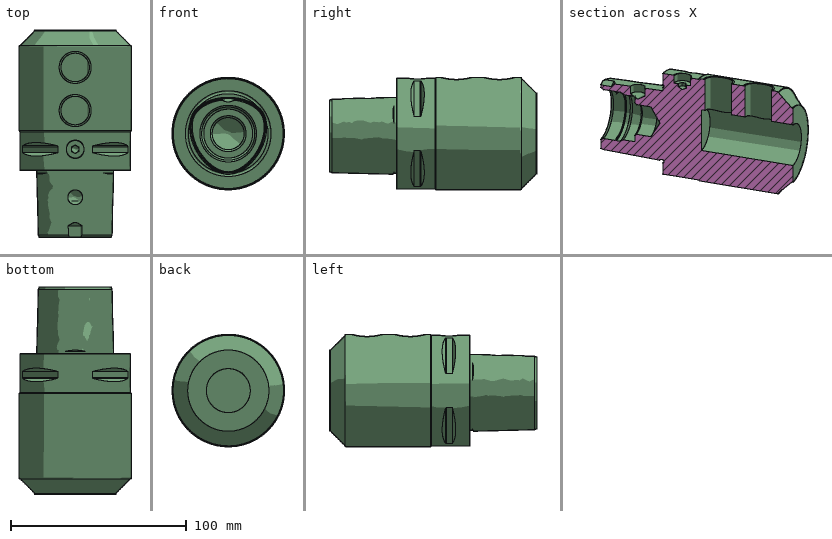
import cadquery as cq
import math


BODY_RADIUS = 32.0
BODY_END = 80.0
NOSE_RADIUS = 23.1
NOSE_LAND = 0.6
CONE_START = 71.1
RIM_LENGTH = 0.7
RIM_DROP = 0.2
FLANGE_RADIUS = 31.5
FLANGE_LENGTH = 22.0
FLANGE_STEP = 0.7
FLANGE_EDGE = 0.3
FACE_GROOVE_RADIUS = 23.5
FACE_GROOVE_SECTION = 0.85

TOOL_BORE_RADIUS = 12.5
TOOL_BORE_DEPTH = 56.0
SCREW_HOLE_STATIONS = (34.1, 58.6)
SCREW_HOLE_RADIUS = 8.1
SCREW_RELIEF_RADIUS = 9.1
SCREW_RELIEF_DEPTH = 0.1

GRIP_FLOOR_DISTANCE = 28.05
GRIP_FLOOR_START = 10.2
GRIP_FLOOR_WIDTH = 3.3
GRIP_BEVEL_WIDTH = 0.6
GRIP_BEVEL_RISE = 0.25
GRIP_FLANK_ANGLE = 30.0
GRIP_COUNT = 4

PLUG_STATION = 12.1
PLUG_RADIUS = 5.2
PLUG_DEPTH = 4.9
PLUG_EDGE = 0.2
SOCKET_FLATS = 4.2
SOCKET_DEPTH = 2.0

SHANK_LENGTH = 38.0
LOBE_MEAN_RADIUS = 21.9
LOBE_RISE = 1.25
TAPER_PER_SIDE = 1 / 40
NECK_LENGTH = 2.0
NECK_RADIUS = 22.6
NECK_CONE_START = 1.3
SHANK_CHAMFER_LENGTH = 1.5
SHANK_CHAMFER_INSET = 0.6
OUTLINE_POINTS = 48

MOUTH_RADIUS = 16.1
ENTRY_RADIUS = 15.1
CLAMP_RADIUS = 13.9
MOUTH_CHAMFER = 1.8
ENTRY_LENGTH = 9.0
TAPER_LENGTH = 0.5
RIDGE_LENGTH = 0.3
RECESS_RADIUS = 15.1
RECESS_LENGTH = 2.3
RECESS_TAPER = 1.8
CLAMP_DEPTH = 20.8
COOLANT_MOUTH_RADIUS = 10.2
COOLANT_RADIUS = 9.1
COOLANT_LENGTH = 10.0
DRILL_POINT_ANGLE = 118.0

CHIP_HOLE_STATION = -15.2
CHIP_HOLE_RADIUS = 4.2
CHIP_HOLE_FLOOR = 15.4
KEY_RADIUS = 5.6
KEY_BOTTOM = 18.0
KEY_LENGTH = 6.5


def drill_point(radius):
    """Length of a standard drill point."""
    return radius / math.tan(math.radians(DRILL_POINT_ANGLE / 2))


def revolve_profile(points):
    """Revolve a closed (radius, Y) profile about the Y axis."""
    return cq.Workplane("XY").polyline(points).close().revolve(360, (0, 0, 0), (0, 1, 0))


def top_turned(points, station):
    """Revolve a closed (radius, Z) profile about a vertical axis at the given Y."""
    turned = cq.Workplane("XZ").polyline(points).close().revolve(360, (0, 0, 0), (0, 1, 0))
    return turned.translate((0, station, 0))


def lobe_wire(mean_radius, y):
    """Three-lobed closed curve at height y, with one lobe pointing to -Z."""
    points = []
    for index in range(OUTLINE_POINTS):
        angle = 2 * math.pi * index / OUTLINE_POINTS
        reach = mean_radius + LOBE_RISE * math.cos(3 * angle)
        slide = 3 * LOBE_RISE * math.sin(3 * angle)
        outward = reach * math.cos(angle) + slide * math.sin(angle)
        sideways = reach * math.sin(angle) - slide * math.cos(angle)
        points.append(cq.Vector(sideways, y, -outward))
    return cq.Wire.assembleEdges([cq.Edge.makeSpline(points, periodic=True)])


def lobe_segment(start_radius, start_y, end_radius, end_y):
    wires = [lobe_wire(start_radius, start_y), lobe_wire(end_radius, end_y)]
    return cq.Workplane(obj=cq.Solid.makeLoft(wires, True))


def make_body():
    profile = [
        (0, 0),
        (FLANGE_RADIUS - FLANGE_EDGE, 0),
        (FLANGE_RADIUS, FLANGE_EDGE),
        (FLANGE_RADIUS, FLANGE_LENGTH),
        (BODY_RADIUS, FLANGE_LENGTH + FLANGE_STEP),
        (BODY_RADIUS, CONE_START - RIM_LENGTH),
        (BODY_RADIUS - RIM_DROP, CONE_START),
        (NOSE_RADIUS + BODY_END - NOSE_LAND - CONE_START, CONE_START),
        (NOSE_RADIUS, BODY_END - NOSE_LAND),
        (NOSE_RADIUS, BODY_END),
        (0, BODY_END),
    ]
    return revolve_profile(profile)


def make_face_groove():
    section = cq.Workplane("XY").center(FACE_GROOVE_RADIUS, 0).circle(FACE_GROOVE_SECTION)
    return section.revolve(360, (-FACE_GROOVE_RADIUS, 0, 0), (-FACE_GROOVE_RADIUS, 1, 0))


def make_shank():
    chamfer_y = -SHANK_LENGTH + SHANK_CHAMFER_LENGTH
    tip_radius = LOBE_MEAN_RADIUS + TAPER_PER_SIDE * (chamfer_y + NECK_LENGTH)
    neck = lobe_segment(LOBE_MEAN_RADIUS, FLANGE_EDGE, LOBE_MEAN_RADIUS, -NECK_LENGTH)
    lobe_tip = LOBE_MEAN_RADIUS + LOBE_RISE
    trim = revolve_profile([
        (0, FLANGE_EDGE),
        (NECK_RADIUS, FLANGE_EDGE),
        (NECK_RADIUS, -NECK_CONE_START),
        (lobe_tip, -NECK_LENGTH),
        (0, -NECK_LENGTH),
    ])
    taper = lobe_segment(LOBE_MEAN_RADIUS, -NECK_LENGTH, tip_radius, chamfer_y)
    tip = lobe_segment(tip_radius, chamfer_y, tip_radius - SHANK_CHAMFER_INSET, -SHANK_LENGTH)
    return neck.intersect(trim).union(taper).union(tip)


def make_shank_bore():
    mouth = -SHANK_LENGTH
    taper_start = mouth + ENTRY_LENGTH
    ridge_start = taper_start + TAPER_LENGTH
    recess_start = ridge_start + RIDGE_LENGTH
    recess_end = recess_start + RECESS_LENGTH
    floor = mouth + CLAMP_DEPTH
    coolant_start = floor + COOLANT_MOUTH_RADIUS - COOLANT_RADIUS
    coolant_end = floor + COOLANT_LENGTH
    return revolve_profile([
        (0, mouth),
        (MOUTH_RADIUS, mouth),
        (ENTRY_RADIUS, mouth + MOUTH_CHAMFER),
        (ENTRY_RADIUS, taper_start),
        (CLAMP_RADIUS, ridge_start),
        (CLAMP_RADIUS, recess_start),
        (RECESS_RADIUS, recess_start),
        (RECESS_RADIUS, recess_end),
        (CLAMP_RADIUS, recess_end + RECESS_TAPER),
        (CLAMP_RADIUS, floor),
        (COOLANT_MOUTH_RADIUS, floor),
        (COOLANT_RADIUS, coolant_start),
        (COOLANT_RADIUS, coolant_end),
        (0, coolant_end + drill_point(COOLANT_RADIUS)),
    ])


def make_tool_bore():
    bore_floor = BODY_END - TOOL_BORE_DEPTH
    return revolve_profile([
        (0, bore_floor),
        (TOOL_BORE_RADIUS, bore_floor),
        (TOOL_BORE_RADIUS, BODY_END),
        (0, BODY_END),
    ])


def make_screw_hole(station):
    """Screw hole from the top into the tool bore, with a thin relief around its mouth."""
    section = cq.Workplane("XY").center(0, station)
    hole = section.circle(SCREW_HOLE_RADIUS).extrude(BODY_RADIUS)
    core = cq.Workplane("XZ").circle(BODY_RADIUS - SCREW_RELIEF_DEPTH).extrude(-BODY_END)
    relief = section.circle(SCREW_RELIEF_RADIUS).extrude(BODY_RADIUS).cut(core)
    return hole.union(relief)


def make_grip_groove(angle):
    """Straight groove with flaring flanks across the flange, turned about Y."""
    flank_slope = math.tan(math.radians(GRIP_FLANK_ANGLE))
    depth = BODY_RADIUS - GRIP_FLOOR_DISTANCE
    floor_end = GRIP_FLOOR_START + GRIP_FLOOR_WIDTH
    bevel_end = floor_end + GRIP_BEVEL_WIDTH
    section = [
        (GRIP_FLOOR_START, GRIP_FLOOR_DISTANCE),
        (floor_end, GRIP_FLOOR_DISTANCE),
        (bevel_end, GRIP_FLOOR_DISTANCE + GRIP_BEVEL_RISE),
        (bevel_end + (depth - GRIP_BEVEL_RISE) * flank_slope, BODY_RADIUS),
        (GRIP_FLOOR_START - depth * flank_slope, BODY_RADIUS),
    ]
    groove = cq.Workplane("YZ").polyline(section).close().extrude(BODY_RADIUS, both=True)
    return groove.rotate((0, 0, 0), (0, 1, 0), angle)


def make_plug_recess():
    """Round recess above the coolant screw, with the screw's hexagon socket below it."""
    seat = FLANGE_RADIUS - PLUG_DEPTH
    recess = top_turned([
        (0, seat),
        (PLUG_RADIUS - PLUG_EDGE, seat),
        (PLUG_RADIUS - PLUG_EDGE, FLANGE_RADIUS - 2 * PLUG_EDGE),
        (PLUG_RADIUS, FLANGE_RADIUS - PLUG_EDGE),
        (PLUG_RADIUS, BODY_RADIUS),
        (0, BODY_RADIUS),
    ], PLUG_STATION)
    socket_corner_radius = SOCKET_FLATS / math.sqrt(3)
    socket_floor = seat - SOCKET_DEPTH
    socket = (
        cq.Workplane("XY", origin=(0, PLUG_STATION, socket_floor))
        .transformed(rotate=(0, 0, 90))
        .polygon(6, 2 * socket_corner_radius)
        .extrude(SOCKET_DEPTH)
    )
    point_radius = SOCKET_FLATS / 2
    point = top_turned([
        (0, socket_floor - drill_point(point_radius)),
        (point_radius, socket_floor),
        (0, socket_floor),
    ], PLUG_STATION)
    return recess.union(socket).union(point)


def make_chip_hole():
    return top_turned([
        (0, CHIP_HOLE_FLOOR - drill_point(CHIP_HOLE_RADIUS)),
        (CHIP_HOLE_RADIUS, CHIP_HOLE_FLOOR),
        (CHIP_HOLE_RADIUS, BODY_RADIUS),
        (0, BODY_RADIUS),
    ], CHIP_HOLE_STATION)


def make_keyway():
    """Round-bottomed keyway at the shank end, closed by a 45 degree cone."""
    key_end = -SHANK_LENGTH + KEY_LENGTH
    cutter = revolve_profile([
        (0, -SHANK_LENGTH),
        (KEY_RADIUS, -SHANK_LENGTH),
        (KEY_RADIUS, key_end),
        (0, key_end + KEY_RADIUS),
    ])
    return cutter.translate((0, 0, KEY_BOTTOM + KEY_RADIUS))


result = make_body().cut(make_face_groove()).union(make_shank())
result = result.cut(make_shank_bore()).cut(make_tool_bore())
for screw_station in SCREW_HOLE_STATIONS:
    result = result.cut(make_screw_hole(screw_station))
for grip_index in range(GRIP_COUNT):
    result = result.cut(make_grip_groove((grip_index + 0.5) * 360 / GRIP_COUNT))
result = result.cut(make_plug_recess()).cut(make_chip_hole()).cut(make_keyway())